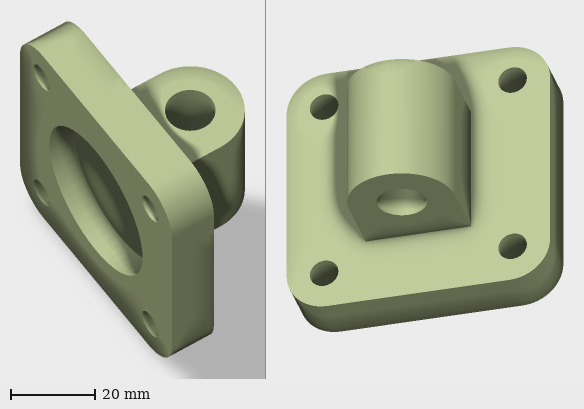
import cadquery as cq

plate_side = 65.0
plate_thickness = 12.0
corner_radius = 10.0
bolt_hole_diameter = 7.0
bolt_spacing = 46.5

recess_diameter = 40.0
recess_depth = 7.0

overall_depth = 40.0
lug_width = 26.0
lug_height = 32.0
pin_hole_diameter = 12.0
lug_radius = lug_width / 2
pin_y = overall_depth - lug_radius


def make_plate():
    plate = (
        cq.Workplane("XZ")
        .rect(plate_side, plate_side)
        .extrude(-plate_thickness)
        .edges("|Y")
        .fillet(corner_radius)
    )
    bolt_holes = (
        cq.Workplane("XZ")
        .rect(bolt_spacing, bolt_spacing, forConstruction=True)
        .vertices()
        .circle(bolt_hole_diameter / 2)
        .extrude(-plate_thickness)
    )
    recess = cq.Workplane("XZ").circle(recess_diameter / 2).extrude(-recess_depth)
    return plate.cut(bolt_holes).cut(recess)


def make_lug():
    base = cq.Workplane("XY").workplane(offset=-lug_height / 2)
    body = (
        base.moveTo(-lug_radius, plate_thickness)
        .lineTo(-lug_radius, pin_y)
        .threePointArc((0, overall_depth), (lug_radius, pin_y))
        .lineTo(lug_radius, plate_thickness)
        .close()
        .extrude(lug_height)
    )
    pin_hole = base.center(0, pin_y).circle(pin_hole_diameter / 2).extrude(lug_height)
    return body.cut(pin_hole)


result = make_plate().union(make_lug())